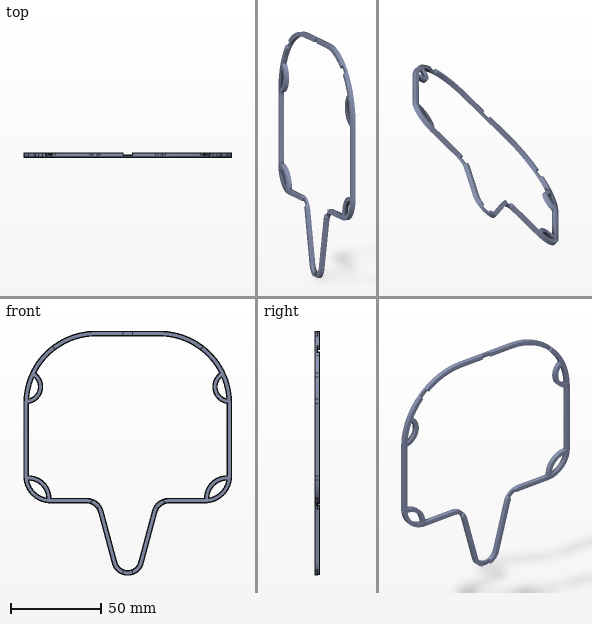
import cadquery as cq
import math

band = 2.5
thickness = 2.5
half_width = 57.5
frame_height = 95.0
total_height = 135.0
top_radius = 40.0
bottom_radius = 15.0
bottom_inner_radius = 12.0
tip_radius = 8.8
neck_radius = 7.0
tongue_angle = 15.0

upper_loop_radius = 9.4
upper_loop_inset = 1.0
upper_loop_drop = 30.7
lower_loop_radius = 12.5
loop_band = 2.35

notch_width = 5.0
notch_depth = 1.25
corner_notch_angle = 49.0

corner_x = half_width - top_radius
tip_z = tip_radius - total_height
neck_z = -frame_height - neck_radius
lean = math.radians(tongue_angle)
neck_x = (tip_radius + neck_radius + (neck_z - tip_z) * math.sin(lean)) / math.cos(lean)


def extrude_back(sketch, length):
    """Extrude an XZ sketch towards +Y."""
    return sketch.extrude(-length)


def polar(center_x, center_z, radius, angle):
    """Point at an angle in degrees, counted from +X towards +Z."""
    a = math.radians(angle)
    return (center_x + radius * math.cos(a), center_z + radius * math.sin(a))


def outline_solid(inset, bottom_r):
    """Solid bounded by the outer outline moved inwards by inset, with lower corners of bottom_r."""
    side_x = half_width - inset
    top_z = -inset
    rail_z = inset - frame_height
    top_r = top_radius - inset
    neck_r = neck_radius + inset
    tip_r = tip_radius - inset
    bottom_x = side_x - bottom_r
    bottom_z = bottom_r + rail_z
    neck_end = 180 - tongue_angle
    neck_mid = (90 + neck_end) / 2

    def mirrored(point):
        return (-point[0], point[1])

    neck_end_point = polar(neck_x, neck_z, neck_r, neck_end)
    neck_mid_point = polar(neck_x, neck_z, neck_r, neck_mid)
    tip_start = polar(0, tip_z, tip_r, -tongue_angle)
    top_mid = polar(corner_x, -top_radius, top_r, 45)
    bottom_mid = polar(bottom_x, bottom_z, bottom_r, -45)
    sketch = (
        cq.Workplane("XZ")
        .moveTo(-corner_x, top_z)
        .lineTo(corner_x, top_z)
        .threePointArc(top_mid, (side_x, -top_radius))
        .lineTo(side_x, bottom_z)
        .threePointArc(bottom_mid, (bottom_x, rail_z))
        .lineTo(neck_x, rail_z)
        .threePointArc(neck_mid_point, neck_end_point)
        .lineTo(*tip_start)
        .threePointArc((0, tip_z - tip_r), mirrored(tip_start))
        .lineTo(*mirrored(neck_end_point))
        .threePointArc(mirrored(neck_mid_point), (-neck_x, rail_z))
        .lineTo(-bottom_x, rail_z)
        .threePointArc(mirrored(bottom_mid), (-side_x, bottom_z))
        .lineTo(-side_x, -top_radius)
        .threePointArc(mirrored(top_mid), (-corner_x, top_z))
        .close()
    )
    return extrude_back(sketch, thickness)


def loop(center_x, center_z, radius):
    """Full ring with the given outer radius, to be trimmed by the outline."""
    sketch = cq.Workplane("XZ").center(center_x, center_z).circle(radius).circle(radius - loop_band)
    return extrude_back(sketch, thickness)


def notch(x, z, angle):
    """Block cutting across the strip at (x, z), square to the direction angle."""
    across = 2 * band
    return (
        cq.Workplane("XY")
        .box(across, notch_depth, notch_width)
        .rotate((0, 0, 0), (0, 1, 0), -angle)
        .translate((x, thickness - notch_depth / 2, z))
    )


blank = outline_solid(0, bottom_radius)
seal = blank.cut(outline_solid(band, bottom_inner_radius))

upper_loop_x = half_width - upper_loop_inset
lower_loop_x = half_width - band
lower_loop_z = band - frame_height
for side in (-1, 1):
    upper_loop = loop(side * upper_loop_x, -upper_loop_drop, upper_loop_radius)
    lower_loop = loop(side * lower_loop_x, lower_loop_z, lower_loop_radius)
    seal = seal.union(upper_loop.intersect(blank)).union(lower_loop.intersect(blank))

seal = seal.cut(notch(0, -band / 2, 90))
seal = seal.cut(notch(0, band / 2 - total_height, 90))
neck_notch_angle = 90 + (90 - tongue_angle) / 2
corner_notch = polar(corner_x, -top_radius, top_radius - band / 2, corner_notch_angle)
neck_notch = polar(neck_x, neck_z, neck_radius + band / 2, neck_notch_angle)
for (place_x, place_z), angle in ((corner_notch, corner_notch_angle), (neck_notch, neck_notch_angle)):
    seal = seal.cut(notch(place_x, place_z, angle))
    seal = seal.cut(notch(-place_x, place_z, 180 - angle))

result = seal